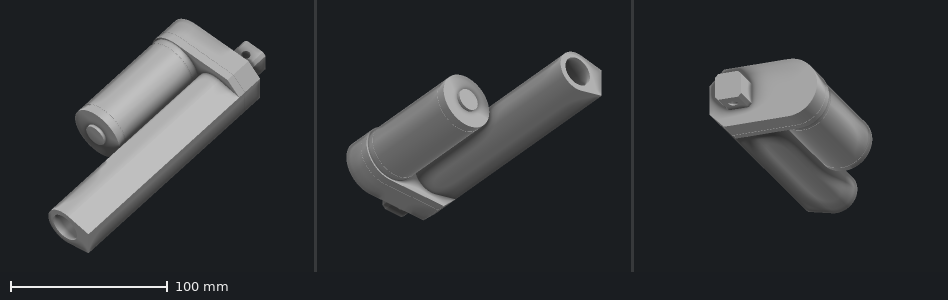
import cadquery as cq
import math


housing_height = 40.0
housing_radius = housing_height / 2
housing_right = 74.0 - housing_radius
housing_chamfer = 10.0
housing_front = 146.0
housing_back = 166.2
parting_start = 151.0
parting_width = 0.5

motor_radius = 19.0
motor_front = 70.1
end_boss_radius = 7.5
end_boss_length = 2.2
motor_groove_width = 1.1
motor_groove_starts = (75.3, 140.0)
neck_length = 0.7

groove_depth = 0.2

tube_x = 34.0
tube_radius = 14.2
bore_radius = 10.1

lug_width = 18.0
lug_chamfer = 2.2
lug_end = 184
lug_hole_diameter = 6.0


def prism(profile, start, length):
    """Extrude a closed XZ outline from Y = start towards +Y."""
    plane = cq.Workplane("XZ", origin=(0, start, 0))
    return profile(plane).extrude(-length)


def cylinder(radius, start, length, x=0):
    return prism(lambda plane: plane.center(x, 0).circle(radius), start, length)


def housing_outline(inset=0):
    """Round left end and chamfered right end, optionally offset inwards."""
    radius = housing_radius - inset
    right = housing_right - inset
    chamfer = housing_chamfer - inset * (2 - math.sqrt(2))
    return lambda plane: (
        plane.moveTo(0, radius)
        .lineTo(right - chamfer, radius)
        .lineTo(right, radius - chamfer)
        .lineTo(right, chamfer - radius)
        .lineTo(right - chamfer, -radius)
        .lineTo(0, -radius)
        .threePointArc((-radius, 0), (0, radius))
        .close()
    )


def make_housing():
    body = prism(housing_outline(), housing_front, housing_back - housing_front)
    parting = prism(housing_outline(), parting_start, parting_width)
    core = prism(housing_outline(groove_depth), parting_start, parting_width)
    return body.cut(parting.cut(core))


def make_motor():
    body = cylinder(motor_radius, motor_front, housing_front - motor_front)
    grooves = [(start, motor_groove_width) for start in motor_groove_starts]
    grooves.append((housing_front - neck_length, neck_length))
    for start, width in grooves:
        ring = cylinder(motor_radius, start, width)
        core = cylinder(motor_radius - groove_depth, start, width)
        body = body.cut(ring.cut(core))
    boss = cylinder(end_boss_radius, motor_front - end_boss_length, end_boss_length)
    return body.union(boss)


def tube_outline(plane):
    """Circle whose two tangent lines run to the right corners of the housing."""
    corner_x = housing_right - tube_x
    corner_z = housing_radius - housing_chamfer
    corner_distance = math.hypot(corner_x, corner_z)
    tangent_angle = math.atan2(corner_z, corner_x) + math.acos(tube_radius / corner_distance)
    tangent_x = tube_x + tube_radius * math.cos(tangent_angle)
    tangent_z = tube_radius * math.sin(tangent_angle)
    return (
        plane.moveTo(tangent_x, tangent_z)
        .lineTo(housing_right, corner_z)
        .lineTo(housing_right, -corner_z)
        .lineTo(tangent_x, -tangent_z)
        .threePointArc((tube_x - tube_radius, 0), (tangent_x, tangent_z))
        .close()
    )


def make_tube():
    body = prism(tube_outline, 0, housing_front)
    return body.cut(cylinder(bore_radius, 0, housing_front, tube_x))


def make_lug():
    length = lug_end - housing_back
    body = prism(lambda plane: plane.center(tube_x, 0).rect(lug_width, lug_width), housing_back, length)
    body = body.edges("|Y").chamfer(lug_chamfer)
    hole = (
        cq.Workplane("XY")
        .center(tube_x, housing_back + length / 2)
        .circle(lug_hole_diameter / 2)
        .extrude(lug_width, both=True)
    )
    return body.cut(hole)


result = make_housing().union(make_motor()).union(make_tube()).union(make_lug())